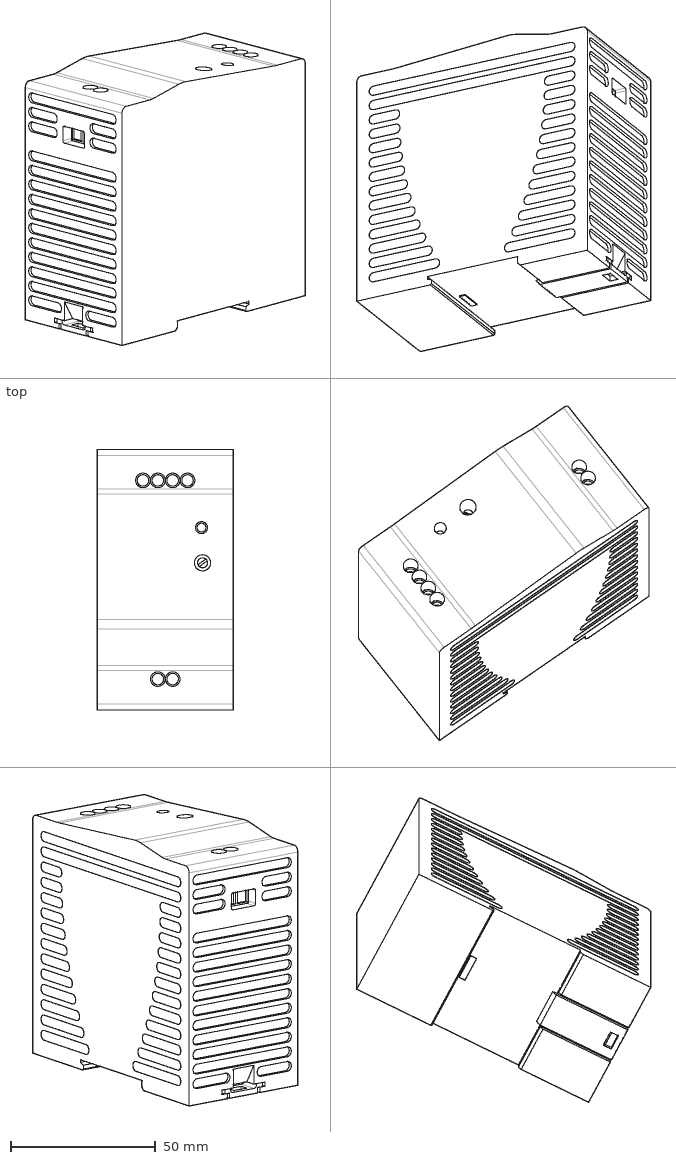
import cadquery as cq
import math

WIDTH = 47.0
LENGTH = 90.0
FRONT_Y = -LENGTH / 2
LEFT_X = -WIDTH / 2

SHOULDER_Z = 85.3
RIDGE_FOOT_Y = 30.4
CREST_Y = -15.4
CREST_Z = 88.5
CREST_SETBACK = 1.7
FOOT_SETBACK = 0.9
EDGE_RADIUS = 2.1

NOTCH_HEIGHT = 3.4
NOTCH_FRONT_Y = -17.7
NOTCH_REAR_Y = 17.5
NOTCH_FRONT_CHAMFER = 1.1
HOOK_REACH = 1.6
HOOK_TOP_Z = 2.5
HOOK_TIP_Z = 1.8
HOOK_CHAMFER = 0.45
BUMP_FRONT_Y = 12.8
BUMP_LENGTH = 2.25
BUMP_DROP = 0.4

GROOVE_HEIGHT = 3.5
FRONT_GROOVE_DEPTH = 1.2
SIDE_GROOVE_DEPTH = 0.1

FRONT_ROWS = 15
FRONT_TOP_ROW_Z = 80.2
FRONT_BOTTOM_ROW_Z = 7.5
FRONT_GROOVE_LEFT = -21.8
FRONT_GROOVE_RIGHT = 20.6
WINDOW_GAP = 15.9
CLIP_GAP = 11.8
WINDOW_ROWS = (1, 2)
BLANK_ROW = 3

SIDE_ROWS = 14
SIDE_FULL_ROWS = 2
SIDE_TOP_ROW_Z = 78.7
SIDE_BOTTOM_ROW_Z = 7.7
SIDE_GROOVE_END_Y = 40.1
ARC_START_Y = 28.3
ARC_RADIUS = 123.3

POLE_PITCH = 5.1
TERMINAL_Y = 34.3
REAR_POLES = 4
FRONT_POLES = 2
SCREW_BORE = 5.0
SCREW_HOLE = 4.0
SCREW_SEAT_Z = 77.4
SCREW_HOLE_DEPTH = 2.7
BLOCK_WIDTH = 10.4
BLOCK_FRONT_Y = -40.9
BLOCK_LENGTH = 12.6
WINDOW_BOTTOM_Z = 67.05
WINDOW_TOP_Z = 73.1
WINDOW_CORNER_RADIUS = 0.7
ENTRY_RIB = 0.9
ENTRY_MARGIN = 0.5
ENTRY_DEPTH = 0.9

WELL_FLOOR_Z = 75.6
LAMP_X = 12.5
LAMP_Y = 18.0
LAMP_WELL = 4.1
LAMP_DIAMETER = 3.1
LAMP_BARREL = 3.9
TRIMMER_X = 12.9
TRIMMER_Y = 5.85
TRIMMER_WELL = 5.6
TRIMMER_DIAMETER = 3.4
TRIMMER_HEIGHT = 4.5
TRIMMER_SLOT_WIDTH = 0.8
TRIMMER_SLOT_DEPTH = 0.9
TRIMMER_SLOT_ANGLE = 35.0

GUIDE_STEP_Z = 1.9
GUIDE_WIDE = 18.5
GUIDE_NARROW = 14.0
CLIP_WIDE = 16.2
CLIP_NARROW = 12.2
NOSE_REACH = 1.9
TOOL_WIDTH = 8.8
TOOL_TOP_Z = 10.2
TOOL_DEPTH = 4.0
SCOOP_WIDTH = 11.2
SCOOP_RADIUS = 1.1
SCOOP_LENGTH = 7.2
CLIP_SLOT_WIDTH = 5.4
CLIP_SLOT_LENGTH = 3.1
CLIP_SLOT_SETBACK = 1.9


def box(x0, x1, y0, y1, z0, z1):
    """Block between two opposite corners."""
    return cq.Workplane("XY").box(x1 - x0, y1 - y0, z1 - z0, centered=False).translate((x0, y0, z0))


def centred_box(width, y0, y1, z0, z1):
    """Block centred on X = 0."""
    return box(-width / 2, width / 2, y0, y1, z0, z1)


def cylinder(x, y, z0, z1, diameter):
    """Upright cylinder between two heights."""
    return cq.Workplane("XY", origin=(x, y, z0)).circle(diameter / 2).extrude(z1 - z0)


def across(points, width):
    """Outline of (Y, Z) points extruded to a width centred on X = 0."""
    return cq.Workplane("YZ", origin=(-width / 2, 0, 0)).polyline(points).close().extrude(width)


def pole_positions(poles):
    """X positions of the poles of a terminal row centred on X = 0."""
    return [(i - (poles - 1) / 2) * POLE_PITCH for i in range(poles)]


def corner_arc(before, corner, after, setback):
    """Start, middle and end of the arc that rounds a corner, tangent to both sides at the setback."""
    to_before = cq.Vector(*before) - cq.Vector(*corner)
    to_after = cq.Vector(*after) - cq.Vector(*corner)
    half_angle = to_before.getAngle(to_after) / 2
    bisector = (to_before.normalized() + to_after.normalized()).normalized()
    middle_distance = setback * (1 - math.sin(half_angle)) / math.cos(half_angle)
    start = cq.Vector(*corner) + to_before.normalized() * setback
    middle = cq.Vector(*corner) + bisector * middle_distance
    end = cq.Vector(*corner) + to_after.normalized() * setback
    return [(point.x, point.y) for point in (start, middle, end)]


def housing_shell():
    rear_y = LENGTH / 2
    hook_y = NOTCH_REAR_Y - HOOK_REACH
    underside = [
        (rear_y, 0),
        (hook_y + HOOK_CHAMFER, 0),
        (hook_y, HOOK_CHAMFER),
        (hook_y, HOOK_TIP_Z),
        (NOTCH_REAR_Y, HOOK_TOP_Z),
        (NOTCH_REAR_Y, NOTCH_HEIGHT),
        (NOTCH_FRONT_Y, NOTCH_HEIGHT),
        (NOTCH_FRONT_Y, NOTCH_FRONT_CHAMFER),
        (NOTCH_FRONT_Y - NOTCH_FRONT_CHAMFER, 0),
        (FRONT_Y, 0),
    ]
    top_corners = [
        (FRONT_Y, SHOULDER_Z),
        (-RIDGE_FOOT_Y, SHOULDER_Z),
        (CREST_Y, CREST_Z),
        (RIDGE_FOOT_Y, SHOULDER_Z),
        (rear_y, SHOULDER_Z),
    ]
    setbacks = [EDGE_RADIUS, FOOT_SETBACK, CREST_SETBACK, FOOT_SETBACK, EDGE_RADIUS]
    path = [underside[-1]] + top_corners + [underside[0]]
    profile = cq.Workplane("YZ", origin=(LEFT_X, 0, 0)).polyline(underside)
    for i, setback in enumerate(setbacks):
        start, middle, end = corner_arc(path[i], path[i + 1], path[i + 2], setback)
        profile = profile.lineTo(*start).threePointArc(middle, end)
    shell = profile.close().extrude(WIDTH)
    bump = centred_box(
        TOOL_WIDTH, BUMP_FRONT_Y, BUMP_FRONT_Y + BUMP_LENGTH, NOTCH_HEIGHT - BUMP_DROP, NOTCH_HEIGHT
    )
    return shell.union(bump)


def front_groove(x0, x1, z):
    return (
        cq.Workplane("XZ", origin=((x0 + x1) / 2, FRONT_Y, z))
        .slot2D(x1 - x0, GROOVE_HEIGHT)
        .extrude(-FRONT_GROOVE_DEPTH)
    )


def side_groove(y0, y1, z):
    return (
        cq.Workplane("YZ", origin=(LEFT_X, (y0 + y1) / 2, z))
        .slot2D(y1 - y0, GROOVE_HEIGHT)
        .extrude(SIDE_GROOVE_DEPTH)
    )


def front_grooves():
    pitch = (FRONT_TOP_ROW_Z - FRONT_BOTTOM_ROW_Z) / (FRONT_ROWS - 1)
    grooves = []
    for row in range(FRONT_ROWS):
        if row == BLANK_ROW:
            continue
        z = FRONT_TOP_ROW_Z - row * pitch
        if row in WINDOW_ROWS:
            gap = WINDOW_GAP
        elif row == FRONT_ROWS - 1:
            gap = CLIP_GAP
        else:
            gap = 0
        if gap:
            grooves.append(front_groove(FRONT_GROOVE_LEFT, -gap / 2, z))
            grooves.append(front_groove(gap / 2, FRONT_GROOVE_RIGHT, z))
        else:
            grooves.append(front_groove(FRONT_GROOVE_LEFT, FRONT_GROOVE_RIGHT, z))
    return grooves


def side_grooves():
    pitch = (SIDE_TOP_ROW_Z - SIDE_BOTTOM_ROW_Z) / (SIDE_ROWS - 1)
    grooves = []
    for row in range(SIDE_ROWS):
        z = SIDE_TOP_ROW_Z - row * pitch
        if row < SIDE_FULL_ROWS:
            grooves.append(side_groove(-SIDE_GROOVE_END_Y, SIDE_GROOVE_END_Y, z))
            continue
        drop = (row - SIDE_FULL_ROWS) * pitch
        inner_y = ARC_START_Y - ARC_RADIUS + math.sqrt(ARC_RADIUS**2 - drop**2)
        grooves.append(side_groove(-SIDE_GROOVE_END_Y, -inner_y, z))
        grooves.append(side_groove(inner_y, SIDE_GROOVE_END_Y, z))
    return grooves


def terminal_openings():
    window = centred_box(BLOCK_WIDTH, FRONT_Y, BLOCK_FRONT_Y, WINDOW_BOTTOM_Z, WINDOW_TOP_Z)
    cavity = centred_box(
        BLOCK_WIDTH, BLOCK_FRONT_Y, BLOCK_FRONT_Y + BLOCK_LENGTH, WINDOW_BOTTOM_Z, SCREW_SEAT_Z
    )
    openings = [window.edges("|Y").fillet(WINDOW_CORNER_RADIUS), cavity]
    for x in pole_positions(FRONT_POLES):
        openings.append(cylinder(x, -TERMINAL_Y, SCREW_SEAT_Z, SHOULDER_Z, SCREW_BORE))
    for x in pole_positions(REAR_POLES):
        openings.append(cylinder(x, TERMINAL_Y, SCREW_SEAT_Z, CREST_Z, SCREW_BORE))
        openings.append(
            cylinder(x, TERMINAL_Y, SCREW_SEAT_Z - SCREW_HOLE_DEPTH, SCREW_SEAT_Z, SCREW_HOLE)
        )
    return openings


def clip_openings():
    wide = centred_box(GUIDE_WIDE, FRONT_Y, NOTCH_FRONT_Y, GUIDE_STEP_Z, NOTCH_HEIGHT)
    narrow = centred_box(GUIDE_NARROW, FRONT_Y, NOTCH_FRONT_Y, 0, GUIDE_STEP_Z)
    tool_outline = [
        (FRONT_Y, NOTCH_HEIGHT),
        (FRONT_Y, TOOL_TOP_Z),
        (FRONT_Y + TOOL_DEPTH, NOTCH_HEIGHT),
    ]
    return [wide, narrow, across(tool_outline, TOOL_WIDTH)]


def make_housing():
    wells = [
        cylinder(LAMP_X, LAMP_Y, WELL_FLOOR_Z, CREST_Z, LAMP_WELL),
        cylinder(TRIMMER_X, TRIMMER_Y, WELL_FLOOR_Z, CREST_Z, TRIMMER_WELL),
    ]
    housing = housing_shell()
    for cutter in front_grooves() + side_grooves() + terminal_openings() + clip_openings() + wells:
        housing = housing.cut(cutter)
    return housing


def make_rail_clip():
    """Sliding T-section clip with a hooked nose, a finger scoop and a tool slot."""
    clip = centred_box(CLIP_WIDE, FRONT_Y, NOTCH_FRONT_Y, GUIDE_STEP_Z, NOTCH_HEIGHT)
    clip = clip.union(centred_box(CLIP_NARROW, FRONT_Y, NOTCH_FRONT_Y, 0, GUIDE_STEP_Z))
    nose_outline = [
        (NOTCH_FRONT_Y, 0),
        (NOTCH_FRONT_Y + HOOK_CHAMFER, 0),
        (NOTCH_FRONT_Y + NOSE_REACH, HOOK_TIP_Z),
        (NOTCH_FRONT_Y, HOOK_TOP_Z),
    ]
    clip = clip.union(across(nose_outline, CLIP_NARROW))
    scoop_top_z = NOTCH_HEIGHT + SCOOP_RADIUS
    scoop = centred_box(SCOOP_WIDTH, FRONT_Y, FRONT_Y + SCOOP_LENGTH, GUIDE_STEP_Z, scoop_top_z)
    clip = clip.cut(scoop.edges("|Y and <Z").fillet(SCOOP_RADIUS))
    slot_y = FRONT_Y + CLIP_SLOT_SETBACK
    return clip.cut(centred_box(CLIP_SLOT_WIDTH, slot_y, slot_y + CLIP_SLOT_LENGTH, 0, NOTCH_HEIGHT))


def make_terminal_block():
    """Two-pole block with wire entries in front and screw holes on top."""
    block_rear_y = BLOCK_FRONT_Y + BLOCK_LENGTH
    block = centred_box(BLOCK_WIDTH, BLOCK_FRONT_Y, block_rear_y, WINDOW_BOTTOM_Z, SCREW_SEAT_Z)
    entry_rear_y = BLOCK_FRONT_Y + ENTRY_DEPTH
    entry_bottom_z = WINDOW_BOTTOM_Z + ENTRY_MARGIN
    entries = centred_box(
        BLOCK_WIDTH - 2 * ENTRY_MARGIN, BLOCK_FRONT_Y, entry_rear_y, entry_bottom_z, WINDOW_TOP_Z
    )
    rib = centred_box(ENTRY_RIB, BLOCK_FRONT_Y, entry_rear_y, entry_bottom_z, WINDOW_TOP_Z)
    block = block.cut(entries.cut(rib))
    for x in pole_positions(FRONT_POLES):
        screw_floor_z = SCREW_SEAT_Z - SCREW_HOLE_DEPTH
        block = block.cut(cylinder(x, -TERMINAL_Y, screw_floor_z, SCREW_SEAT_Z, SCREW_HOLE))
    return block


def make_lamp():
    """Round lamp with a hemispherical tip."""
    barrel_top_z = WELL_FLOOR_Z + LAMP_BARREL
    barrel = cylinder(LAMP_X, LAMP_Y, WELL_FLOOR_Z, barrel_top_z, LAMP_DIAMETER)
    dome = cq.Workplane("XY", origin=(LAMP_X, LAMP_Y, barrel_top_z)).sphere(LAMP_DIAMETER / 2)
    return barrel.union(dome)


def make_trimmer():
    """Round adjuster with a slanted screwdriver slot."""
    top_z = WELL_FLOOR_Z + TRIMMER_HEIGHT
    trimmer = cylinder(TRIMMER_X, TRIMMER_Y, WELL_FLOOR_Z, top_z, TRIMMER_DIAMETER)
    slot = (
        cq.Workplane("XY", origin=(TRIMMER_X, TRIMMER_Y, top_z))
        .transformed(rotate=(0, 0, TRIMMER_SLOT_ANGLE))
        .rect(TRIMMER_DIAMETER * 2, TRIMMER_SLOT_WIDTH)
        .extrude(-TRIMMER_SLOT_DEPTH)
    )
    return trimmer.cut(slot)


housing = make_housing()
rail_clip = make_rail_clip()
terminal_block = make_terminal_block()
lamp = make_lamp()
trimmer = make_trimmer()

result = cq.Compound.makeCompound(
    [housing.val(), rail_clip.val(), terminal_block.val(), lamp.val(), trimmer.val()]
)